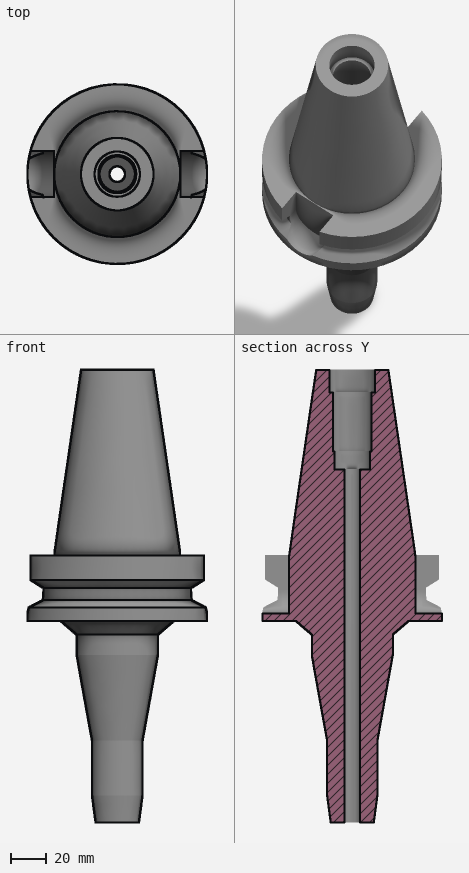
import cadquery as cq

taper_length = 101.7
shank_length = 251.8 - taper_length
gauge_radius = 35.0
taper_rate = 7 / 24
taper_end_radius = gauge_radius - taper_length * taper_rate / 2

flange_radius = 49.98
flange_top = -1.5
flange_bottom = -38.0
groove_radius = 43.0
groove_top = -15.0
groove_floor_top = -19.6
groove_floor_bottom = -26.5
groove_bottom = -30.5

collar_radius = 31.5
hub_radius = 22.7
hub_top = -45.5
hub_bottom = -57.0
neck_radius = 14.0
neck_top = -104.5
neck_bottom = -135.0
tip_radius = 12.0

pilot_radius = 12.5
pilot_depth = 12.5
thread_radius = 10.5
thread_depth = 45.3
drill_radius = 9.8
drill_depth = 55.5
through_radius = 4.3

slot_width = 25.7
slot_floor_offset = 35.3
slot_bottom = -33.7


def make_body():
    profile = [
        (0, taper_length),
        (taper_end_radius, taper_length),
        (gauge_radius, 0),
        (gauge_radius, flange_top),
        (flange_radius, flange_top),
        (flange_radius, groove_top),
        (groove_radius, groove_floor_top),
        (groove_radius, groove_floor_bottom),
        (flange_radius, groove_bottom),
        (flange_radius, flange_bottom),
        (collar_radius, flange_bottom),
        (hub_radius, hub_top),
        (hub_radius, hub_bottom),
        (neck_radius, neck_top),
        (neck_radius, neck_bottom),
        (tip_radius, -shank_length),
        (0, -shank_length),
    ]
    return cq.Workplane("XZ").polyline(profile).close().revolve(360, (0, 0), (0, 1))


def make_bore():
    top_plane = cq.Workplane("XY").workplane(offset=taper_length)
    pilot = top_plane.circle(pilot_radius).extrude(-pilot_depth)
    thread = top_plane.circle(thread_radius).extrude(-thread_depth)
    drill = top_plane.circle(drill_radius).extrude(-drill_depth)
    through = top_plane.circle(through_radius).extrude(-(taper_length + shank_length))
    return pilot.union(thread).union(drill).union(through)


def make_drive_slot(side):
    """Slot cutter open at the top and outside; side is +1 for +X and -1 for -X."""
    half_width = slot_width / 2
    arc_center = slot_bottom + half_width
    return (
        cq.Workplane("YZ")
        .workplane(offset=side * slot_floor_offset)
        .moveTo(-half_width, flange_top)
        .lineTo(-half_width, arc_center)
        .threePointArc((0, slot_bottom), (half_width, arc_center))
        .lineTo(half_width, flange_top)
        .close()
        .extrude(side * flange_radius)
    )


result = make_body().cut(make_bore())
for side in (-1, 1):
    result = result.cut(make_drive_slot(side))